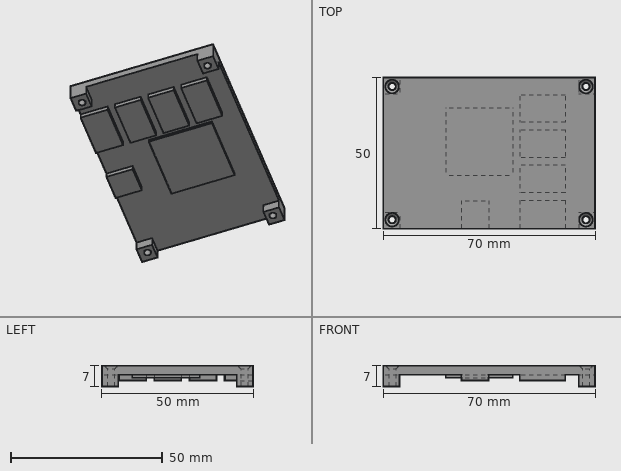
import cadquery as cq

length = 70.0
width = 50.0
height = 7.0
plate_thickness = 3.1
foot_size = 5.45

hole_inset = 3.0
hole_diameter = 2.3
countersink_diameter = 4.5
countersink_angle = 90.0

pad_depth = 1.9
die_pad_depth = 1.0
chip_pad_length = 15.1
chip_pad_width = 9.0
chip_pad_min_x = 10.1
chip_pad_gap = 2.6
chip_pad_count = 3
edge_pad_max_y = -15.5
small_pad_min_x = -9.1
small_pad_length = 9.0
small_pad_max_y = -15.8
die_pad_size = 22.2
die_pad_min_x = -14.3
die_pad_min_y = -7.3

plate_bottom = height - plate_thickness
front_edge_y = -width / 2


def box_between(x_min, x_max, y_min, y_max, z_min, z_max):
    """Box given by its limits along each axis."""
    size = (x_max - x_min, y_max - y_min, z_max - z_min)
    return cq.Workplane("XY").box(*size, centered=False).translate((x_min, y_min, z_min))


def underside_pad(x_min, y_min, pad_length, pad_width, depth):
    """Rectangular pad standing down from the plate underside."""
    return box_between(
        x_min, x_min + pad_length, y_min, y_min + pad_width, plate_bottom - depth, plate_bottom
    )


def make_feet():
    """Square feet in the four corners, reaching down to Z = 0."""
    return (
        cq.Workplane("XY")
        .rect(length - foot_size, width - foot_size, forConstruction=True)
        .vertices()
        .rect(foot_size, foot_size)
        .extrude(plate_bottom)
    )


def make_pads():
    """All contact pads: a row of chip pads, two pads on the front edge, and the die pad."""
    pads = [
        underside_pad(die_pad_min_x, die_pad_min_y, die_pad_size, die_pad_size, die_pad_depth),
        underside_pad(
            small_pad_min_x, front_edge_y, small_pad_length, small_pad_max_y - front_edge_y, pad_depth
        ),
        underside_pad(
            chip_pad_min_x, front_edge_y, chip_pad_length, edge_pad_max_y - front_edge_y, pad_depth
        ),
    ]
    chip_pad_pitch = chip_pad_width + chip_pad_gap
    for index in range(chip_pad_count):
        y_min = edge_pad_max_y + chip_pad_gap + index * chip_pad_pitch
        pads.append(underside_pad(chip_pad_min_x, y_min, chip_pad_length, chip_pad_width, pad_depth))
    return pads


def drill_screw_holes(body):
    """Countersunk through holes from the top face."""
    return (
        body.faces(">Z")
        .workplane(origin=(0, 0, height))
        .rect(length - 2 * hole_inset, width - 2 * hole_inset, forConstruction=True)
        .vertices()
        .cskHole(hole_diameter, countersink_diameter, countersink_angle)
    )


plate = box_between(-length / 2, length / 2, -width / 2, width / 2, plate_bottom, height)
body = plate.union(make_feet())
for pad in make_pads():
    body = body.union(pad)

result = drill_screw_holes(body)